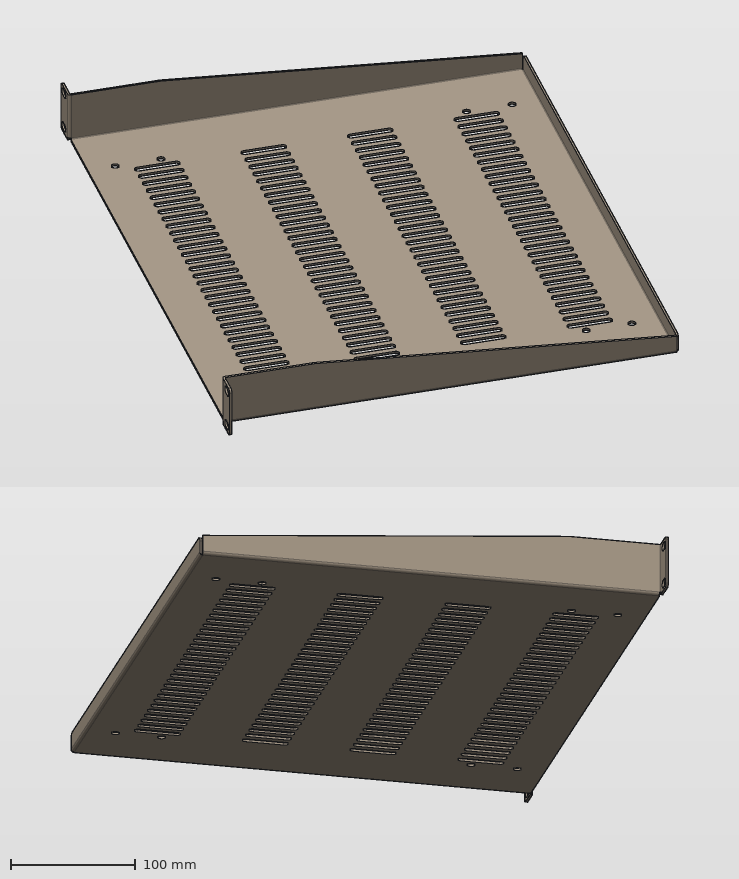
import cadquery as cq

TOTAL_WIDTH = 482.8
TOTAL_DEPTH = 381.0
TOTAL_HEIGHT = 43.5

THICKNESS = 2.0
INNER_BEND = 0.5
OUTER_BEND = INNER_BEND + THICKNESS

TRAY_WIDTH = 444.0
REAR_HEIGHT = 16.0
REAR_CORNER_RADIUS = 4.0
LEVEL_LENGTH = 77.0

EAR_CORNER_RADIUS = 3.0
EAR_SLOT_X = 233.0
EAR_SLOT_LENGTH = 10.5
EAR_SLOT_HEIGHT = 6.5
EAR_SLOT_SPACING = 32.0

SLOT_COUNT = 30
SLOT_ROW_WIDTH = 323.5
SLOT_PITCH = SLOT_ROW_WIDTH / (SLOT_COUNT - 1)
SLOT_WIDTH = 6.0
SLOT_LENGTH = 37.5
ROW_COUNT = 4
ROW_PITCH = 89.0

HOLE_DIAMETER = 6.5
HOLE_X = 171.5
HOLE_DISTANCES = (127.5, 165.5)

EAR_END_X = TOTAL_WIDTH / 2
WALL_OUTSIDE_X = TRAY_WIDTH / 2
WALL_INSIDE_X = WALL_OUTSIDE_X - THICKNESS
EAR_BEND_X = WALL_INSIDE_X + OUTER_BEND
FLOOR_EDGE_X = WALL_OUTSIDE_X - OUTER_BEND
FLOOR_FRONT_Y = THICKNESS
FLOOR_REAR_Y = TOTAL_DEPTH - OUTER_BEND
REAR_INSIDE_Y = TOTAL_DEPTH - THICKNESS
MIDDLE_Y = TOTAL_DEPTH / 2


def bent_wall(plane, outside, height, start, end):
    """Bend and upright wall.

    The profile lies in `plane`, with the wall's outer face at `outside` on its first axis,
    and is swept from `start` to `end` along the plane's normal.
    """
    return (
        cq.Workplane(plane)
        .workplane(offset=start)
        .moveTo(outside - OUTER_BEND, 0)
        .radiusArc((outside, OUTER_BEND), -OUTER_BEND)
        .lineTo(outside, height)
        .lineTo(outside - THICKNESS, height)
        .lineTo(outside - THICKNESS, OUTER_BEND)
        .radiusArc((outside - OUTER_BEND, THICKNESS), INNER_BEND)
        .close()
        .extrude(end - start)
    )


def make_floor():
    depth = FLOOR_REAR_Y - FLOOR_FRONT_Y
    return (
        cq.Workplane("XY", origin=(0, FLOOR_FRONT_Y, 0))
        .box(2 * FLOOR_EDGE_X, depth, THICKNESS, centered=(True, False, False))
    )


def make_side_wall():
    """Right-hand wall, its top edge level at the front and falling towards the rear."""
    wall = bent_wall("XZ", WALL_OUTSIDE_X, TOTAL_HEIGHT, -REAR_INSIDE_Y, -OUTER_BEND)
    above_slope = (
        cq.Workplane("YZ")
        .moveTo(LEVEL_LENGTH, TOTAL_HEIGHT)
        .lineTo(TOTAL_DEPTH, REAR_HEIGHT)
        .lineTo(TOTAL_DEPTH, TOTAL_HEIGHT)
        .close()
        .extrude(TOTAL_WIDTH)
    )
    return wall.cut(above_slope)


def make_rear_wall():
    """Low wall that stops short of the side walls, leaving the rear corners open."""
    wall = bent_wall("YZ", TOTAL_DEPTH, REAR_HEIGHT, -FLOOR_EDGE_X, FLOOR_EDGE_X)
    top_corners = wall.faces(">Z").edges("|Y")
    return top_corners.fillet(REAR_CORNER_RADIUS)


def make_ear():
    """Right-hand ear and the bend that joins it to the side wall."""
    ear = (
        cq.Workplane("XY")
        .moveTo(EAR_END_X, 0)
        .lineTo(EAR_BEND_X, 0)
        .radiusArc((WALL_INSIDE_X, OUTER_BEND), OUTER_BEND)
        .lineTo(WALL_OUTSIDE_X, OUTER_BEND)
        .radiusArc((EAR_BEND_X, THICKNESS), -INNER_BEND)
        .lineTo(EAR_END_X, THICKNESS)
        .close()
        .extrude(TOTAL_HEIGHT)
        .edges("|Y and >X")
        .fillet(EAR_CORNER_RADIUS)
    )
    bend_relief = cq.Workplane("XY").box(EAR_BEND_X, OUTER_BEND, OUTER_BEND, centered=False)
    slots = (
        cq.Workplane("XZ", origin=(EAR_SLOT_X, 0, TOTAL_HEIGHT / 2))
        .rarray(5, EAR_SLOT_SPACING, 1, 2)
        .slot2D(EAR_SLOT_LENGTH, EAR_SLOT_HEIGHT)
        .extrude(-THICKNESS)
    )
    return ear.cut(bend_relief).cut(slots)


def cut_floor_openings(tray):
    """Cut the rows of ventilation slots and the round holes through the floor."""
    middle = cq.Workplane("XY", origin=(0, MIDDLE_Y, 0))
    slots = (
        middle.rarray(SLOT_PITCH, ROW_PITCH, SLOT_COUNT, ROW_COUNT)
        .slot2D(SLOT_LENGTH, SLOT_WIDTH, angle=90)
        .extrude(THICKNESS)
    )
    hole_points = [
        (x, side * distance)
        for x in (-HOLE_X, HOLE_X)
        for side in (-1, 1)
        for distance in HOLE_DISTANCES
    ]
    holes = middle.pushPoints(hole_points).circle(HOLE_DIAMETER / 2).extrude(THICKNESS)
    return tray.cut(slots).cut(holes)


right_side = make_side_wall().union(make_ear())
left_side = right_side.mirror("YZ")
tray = make_floor().union(make_rear_wall()).union(right_side).union(left_side)
result = cut_floor_openings(tray)